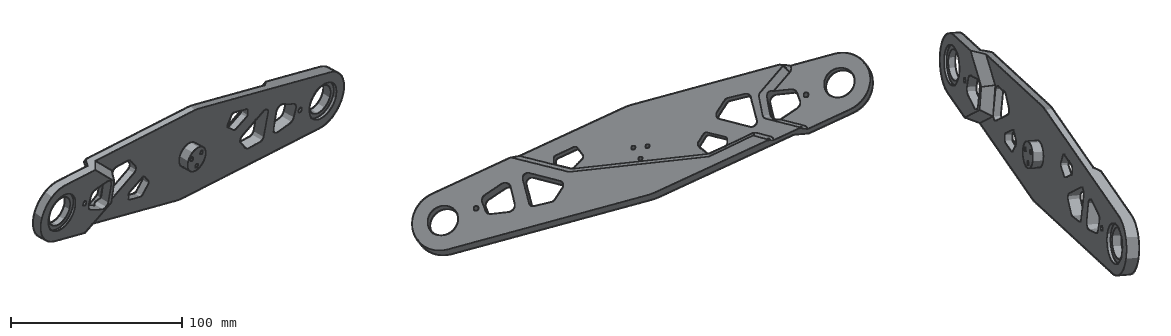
import cadquery as cq
import math


recess_floor = 3.0
plate_back = 8.0
raised_front = 8.5
total_thickness = 14.5

end_y = 119.2
end_z = 31.5
end_radius = 18.8
middle_radius = 30.0
arm_length = math.hypot(end_y, end_z)
arm_angle = math.atan2(end_z, -end_y)

end_bore = 18.5
counterbore = 24.0
raised_counterbore_depth = 1.7
plain_counterbore_depth = 2.2
pin_hole = 3.0
pin_hole_distance = 102.5
boss_diameter = 16.0
boss_hole = 2.5
boss_hole_circle = 10.0
boss_hole_angles = (30, 150, 270)

recess_draft = 45
step_draft = 31
pad_draft = 36
step_wall = 4.0
step_corner_radius = 4.1

recess_lip = [(105.0, 13.5), (42.5, -9.7), (-42.5, -9.7), (-69.3, 0.5), (-77.8, -2.8)]
step_corners = [(-71.8, 27.3), (-74.5, 12.1)]
step_lip_top = (-86.7, 43.5)
step_lip_bottom = (-96.5, 4.0)
beyond_y = 220.8
beyond_z = 110.5
pad_tip_z = -27.5
lip_turn = (55.2, 27.5)

outer_window = [(79.2, -10.0), (74.5, -30.5), (92.5, -30.5), (96.3, -20.0)]
outer_window_radius = 4.0
inner_window = [(72.0, -5.5), (44.5, -16.0), (52.0, -27.0), (66.2, -29.0)]
inner_window_radius = 3.0
small_window = [(39.2, 7.5), (52.7, 2.5), (52.7, -2.5), (41.0, -6.5), (34.2, 0.0)]
small_window_radius = 2.0


def layer(x):
    """Workplane parallel to YZ at the given X."""
    return cq.Workplane("YZ", origin=(x, 0, 0))


def polar(radius, angle, centre=(0, 0)):
    return (centre[0] + radius * math.cos(angle), centre[1] + radius * math.sin(angle))


def arm_outline(x):
    """Closed outline of the whole arm at the given X."""
    tilt = math.asin((middle_radius - end_radius) / arm_length)
    normal = math.pi / 2 - tilt
    raised_end = polar(arm_length, arm_angle)
    plain_end = polar(-arm_length, arm_angle)
    return (
        layer(x)
        .moveTo(*polar(end_radius, arm_angle - normal, raised_end))
        .threePointArc(
            polar(end_radius, arm_angle, raised_end),
            polar(end_radius, arm_angle + normal, raised_end),
        )
        .lineTo(*polar(middle_radius, arm_angle + normal))
        .threePointArc(
            polar(middle_radius, arm_angle + math.pi / 2),
            polar(middle_radius, arm_angle + math.pi - normal),
        )
        .lineTo(*polar(end_radius, arm_angle + math.pi - normal, plain_end))
        .threePointArc(
            polar(-end_radius, arm_angle, plain_end),
            polar(end_radius, arm_angle + math.pi + normal, plain_end),
        )
        .lineTo(*polar(middle_radius, arm_angle + math.pi + normal))
        .threePointArc(
            polar(-middle_radius, arm_angle + math.pi / 2),
            polar(middle_radius, arm_angle - normal),
        )
        .close()
    )


def extend(start, through, z):
    """Point at height z on the straight line from start through another point."""
    slope = (through[0] - start[0]) / (through[1] - start[1])
    return (start[0] + slope * (z - start[1]), z)


def raised_side(x, lip):
    """Area between a lip, listed from top to bottom, and a line far past the raised end."""
    return layer(x).polyline(lip + [(-beyond_y, -beyond_z), (-beyond_y, beyond_z)]).close()


def raised_pad():
    """Material behind the plate at the raised end, with a sloped inner wall."""
    height = total_thickness - plate_back
    top = extend(step_corners[0], step_lip_top, beyond_z)
    bottom = extend(step_corners[1], step_lip_bottom, pad_tip_z)
    side = raised_side(plate_back, [top, *step_corners, bottom])
    pad = side.offset2D(step_wall, "intersection").extrude(height, taper=pad_draft)
    return pad.intersect(arm_outline(plate_back).extrude(height))


def recess_cutter():
    """Shallow recess over the upper part of the front face, with sloped walls."""
    below_end = (recess_lip[-1][0], -beyond_z)
    far_corners = [(-beyond_y, -beyond_z), (-beyond_y, beyond_z), (recess_lip[0][0], beyond_z)]
    outline = layer(0).polyline([*recess_lip, below_end, *far_corners]).close()
    return outline.extrude(recess_floor, taper=recess_draft)


def step_cutter():
    """Space in front of the raised end, with sloped walls and rounded corners."""
    depth = raised_front - recess_floor
    top_turn = (step_lip_top[0] + lip_turn[0], step_lip_top[1] + lip_turn[1])
    below_end = (step_lip_bottom[0], -beyond_z)
    lip = [top_turn, step_lip_top, *step_corners, step_lip_bottom, below_end]
    cutter = raised_side(recess_floor, lip).extrude(depth, taper=step_draft)
    for y, z in step_corners:
        corner_edge = cq.selectors.NearestToPointSelector((recess_floor + depth / 2, y, z))
        cutter = cutter.edges(corner_edge).fillet(step_corner_radius)
    return cutter


def window_cutter(corners, radius):
    prism = layer(0).polyline(corners).close().extrude(total_thickness)
    return prism.edges("|X").fillet(radius)


def round_cutter(diameter, points):
    return layer(0).pushPoints(points).circle(diameter / 2).extrude(total_thickness)


result = arm_outline(0).extrude(plate_back).union(raised_pad())
result = result.cut(recess_cutter()).cut(step_cutter())
boss = layer(plate_back).circle(boss_diameter / 2).extrude(total_thickness - plate_back)
result = result.union(boss)

for corners, radius in ((outer_window, outer_window_radius), (inner_window, inner_window_radius)):
    cutter = window_cutter(corners, radius)
    result = result.cut(cutter).cut(cutter.rotate((0, 0, 0), (1, 0, 0), 180))

small_cutter = window_cutter(small_window, small_window_radius)
result = result.cut(small_cutter).cut(small_cutter.mirror("XZ"))

for distance, diameter in ((arm_length, end_bore), (pin_hole_distance, pin_hole)):
    centres = [polar(distance, arm_angle), polar(-distance, arm_angle)]
    result = result.cut(round_cutter(diameter, centres))

for distance, back, depth in (
    (arm_length, total_thickness, raised_counterbore_depth),
    (-arm_length, plate_back, plain_counterbore_depth),
):
    seat = layer(back - depth).center(*polar(distance, arm_angle)).circle(counterbore / 2)
    result = result.cut(seat.extrude(depth))

boss_holes = [polar(boss_hole_circle / 2, math.radians(angle)) for angle in boss_hole_angles]
result = result.cut(round_cutter(boss_hole, boss_holes))